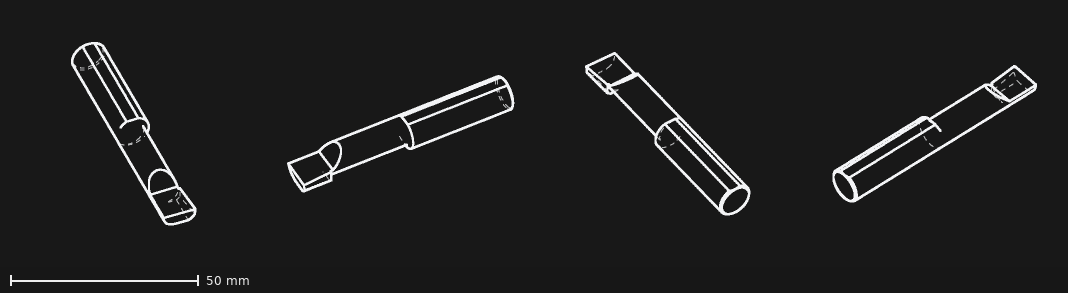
import cadquery as cq
import math

length = 63.5
shank_radius = 4.75
shank_length = 30.55
shank_flat_height = 4.45
shank_chamfer = 0.4

neck_radius = 4.05
neck_offset = -0.95
root_radius = 0.5

ramp_foot = 54.0
ramp_angle = 45.0
head_start = 54.75
head_start_y = 3.5
head_tip_y = 4.3
end_relief_angle = 7.0
end_skew_angle = 1.5


def make_shank():
    """Round shank with a chamfered rear edge and a clamping flat."""
    shank = cq.Workplane("YZ").circle(shank_radius).extrude(shank_length)
    shank = shank.faces("<X").chamfer(shank_chamfer)
    flat_cut = (
        cq.Workplane("XY", origin=(0, 0, shank_flat_height))
        .rect(2 * shank_length, 2 * shank_radius)
        .extrude(shank_radius)
    )
    return shank.cut(flat_cut)


def make_envelope():
    """Shank diameter, cut at flat height, continued over the full length."""
    below_flat = (
        cq.Workplane("XY", origin=(0, 0, -shank_radius))
        .rect(2 * length, 2 * shank_radius)
        .extrude(shank_radius + shank_flat_height)
    )
    return cq.Workplane("YZ").circle(shank_radius).extrude(length).intersect(below_flat)


def make_neck():
    """Turned neck with a concave root fillet, about its offset axis."""
    arc_step = root_radius * (1 - math.sqrt(0.5))
    return (
        cq.Workplane("XY", origin=(0, neck_offset, 0))
        .moveTo(shank_length, 0)
        .lineTo(shank_length, neck_radius + root_radius)
        .threePointArc(
            (shank_length + arc_step, neck_radius + arc_step),
            (shank_length + root_radius, neck_radius),
        )
        .lineTo(length, neck_radius)
        .lineTo(length, 0)
        .close()
        .revolve(360, (0, 0, 0), (1, 0, 0))
    )


def make_head():
    """Flared side of the cutting head, below the rake face."""
    return (
        cq.Workplane("XY")
        .polyline([
            (head_start, neck_offset),
            (head_start, head_start_y),
            (length, head_tip_y),
            (length, neck_offset),
        ])
        .close()
        .extrude(-neck_radius)
    )


def make_rake_cut():
    """Removes the upper half of the head, leaving a sloped runout."""
    ramp_run = shank_radius / math.tan(math.radians(ramp_angle))
    return (
        cq.Workplane("XZ")
        .polyline([
            (ramp_foot, 0),
            (length, 0),
            (length, shank_radius),
            (ramp_foot - ramp_run, shank_radius),
        ])
        .close()
        .extrude(shank_radius, both=True)
    )


def make_end_cut():
    """Material beyond the end face, which leans back from the cutting tip."""
    cutter_size = 4 * shank_radius
    tip = (length, head_tip_y, 0)
    return (
        cq.Workplane("XY", origin=tip)
        .box(cutter_size, cutter_size, cutter_size, centered=(False, True, True))
        .rotate(tip, (length, head_tip_y + 0.65, 0), end_relief_angle)
        .rotate(tip, (length, head_tip_y, 1), -end_skew_angle)
    )


front = make_neck().union(make_head()).intersect(make_envelope())
front = front.cut(make_rake_cut()).cut(make_end_cut())
result = make_shank().union(front)